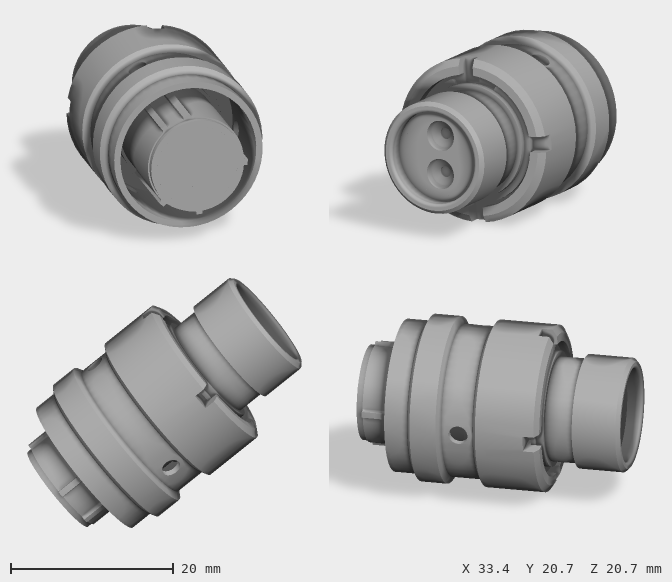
import cadquery as cq
import math


LENGTH = 33.37
FRONT_R = 7.07
FRONT_END = 5.97
FRONT_CHAMFER = 0.47
RIM_ROUND = 0.4
SOCKET_R = 5.8
SOCKET_DEPTH = 1.97
NECK_R = 6.47
HUB_R = 7.17
HUB_START = 9.5
REAR_NECK_END = 19.8
TAIL_R = 6.1
TAIL_END = 32.57
TIP_R = 5.9

KEY_TOP_R = 6.6
KEY_WIDTH = 0.77
KEY_FOOT_R = 0.25
KEY_START = 21.02
KEY_ANGLES = (38.3, 138.4, 184.0, 267.0)

LEANING_KEY_CORNERS = ((-0.45, 5.97), (-0.45, 6.07), (-0.77, 6.55), (-1.57, 6.17), (-1.6, 5.77))

NUT_R = 10.35
NUT_BODY_R = 9.45
NUT_CHAMFER_LENGTH = 0.55
NUT_START = HUB_START
NUT_GRIP_END = 17.95
NUT_COLLAR_START = 21.85
NUT_COLLAR_END = 26.2
NUT_END = 29.05
NUT_RECESS_R = 8.38
NUT_CAVITY_R = 8.65
NUT_TURN = -4.6

SLOT_COUNT = 4
SLOT_WIDTH = 2.0
SLOT_END = 11.38

SIGHT_COUNT = 3
SIGHT_DIAMETER = 2.37
SIGHT_X = 19.75
SIGHT_FIRST_ANGLE = 25.2

CLIP_R = 7.95
CLIP_INNER_R = 7.07
GROOVE_START = 10.28
CLIP_START = 10.38
CLIP_END = 10.9
CLIP_HALF_GAP = 22.5
CLIP_CORNER_R = 0.45

INSERT_R = 5.1
CONTACT_R = 0.7
CONTACT_SPACING = 4.85
MOUTH_R = 1.9
MOUTH_DEPTH = 0.3
CONE_R = 1.6
CONE_START = 0.75
PASSAGE_START = 1.3
CONTACT_RECESS = 0.2


def cylinder_x(radius, start, end, z=0.0):
    return cq.Workplane("YZ", origin=(start, 0, z)).circle(radius).extrude(end - start)


def turned(part, angle):
    return part.rotate((0, 0, 0), (1, 0, 0), angle)


def make_key():
    """One rib along the tail at +Z, with concave rounds at its foot."""
    half = KEY_WIDTH / 2
    foot_y = half + KEY_FOOT_R
    foot_center_r = TAIL_R + KEY_FOOT_R
    foot_z = math.sqrt(foot_center_r**2 - foot_y**2)
    foot_scale = TAIL_R / foot_center_r
    base_y, base_z = foot_y * foot_scale, foot_z * foot_scale
    top_z = math.sqrt(KEY_TOP_R**2 - half**2)
    round_angle = (math.pi + math.pi + math.atan2(foot_z, foot_y)) / 2
    mid_y = foot_y + KEY_FOOT_R * math.cos(round_angle)
    mid_z = foot_z + KEY_FOOT_R * math.sin(round_angle)
    return (
        cq.Workplane("YZ", origin=(KEY_START, 0, 0))
        .moveTo(base_y, base_z)
        .threePointArc((mid_y, mid_z), (half, foot_z))
        .lineTo(half, top_z)
        .threePointArc((0, KEY_TOP_R), (-half, top_z))
        .lineTo(-half, foot_z)
        .threePointArc((-mid_y, mid_z), (-base_y, base_z))
        .lineTo(0, TIP_R)
        .close()
        .extrude(TAIL_END - KEY_START)
    )


def make_leaning_key():
    return (
        cq.Workplane("YZ", origin=(KEY_START, 0, 0))
        .polyline(LEANING_KEY_CORNERS)
        .close()
        .extrude(TAIL_END - KEY_START)
    )


def make_shell():
    rim_r = SOCKET_R + RIM_ROUND
    round_mid = RIM_ROUND * (1 - math.sqrt(0.5))
    body = (
        cq.Workplane("XZ")
        .moveTo(0, rim_r)
        .lineTo(0, FRONT_R - FRONT_CHAMFER)
        .lineTo(FRONT_CHAMFER, FRONT_R)
        .lineTo(FRONT_END, FRONT_R)
        .lineTo(FRONT_END, NECK_R)
        .lineTo(HUB_START, NECK_R)
        .lineTo(HUB_START, HUB_R)
        .lineTo(GROOVE_START, HUB_R)
        .lineTo(GROOVE_START, CLIP_INNER_R)
        .lineTo(CLIP_END, CLIP_INNER_R)
        .lineTo(CLIP_END, HUB_R)
        .lineTo(NUT_GRIP_END, HUB_R)
        .lineTo(NUT_GRIP_END, NECK_R)
        .lineTo(REAR_NECK_END, NECK_R)
        .lineTo(REAR_NECK_END, TAIL_R)
        .lineTo(TAIL_END, TAIL_R)
        .lineTo(TAIL_END, TIP_R)
        .lineTo(LENGTH, TIP_R)
        .lineTo(LENGTH, INSERT_R)
        .lineTo(SOCKET_DEPTH, INSERT_R)
        .lineTo(SOCKET_DEPTH, SOCKET_R)
        .lineTo(RIM_ROUND, SOCKET_R)
        .threePointArc((round_mid, SOCKET_R + round_mid), (0, rim_r))
        .close()
        .revolve(360, (0, 0, 0), (1, 0, 0))
    )
    for angle in KEY_ANGLES:
        body = body.union(turned(make_key(), angle))
    return body.union(make_leaning_key())


def make_nut():
    profile = [
        (NUT_START, NUT_RECESS_R),
        (NUT_START, NUT_BODY_R),
        (NUT_START + NUT_CHAMFER_LENGTH, NUT_R),
        (NUT_GRIP_END - NUT_CHAMFER_LENGTH, NUT_R),
        (NUT_GRIP_END, NUT_BODY_R),
        (NUT_COLLAR_START, NUT_BODY_R),
        (NUT_COLLAR_START + NUT_CHAMFER_LENGTH, NUT_R),
        (NUT_COLLAR_END - NUT_CHAMFER_LENGTH, NUT_R),
        (NUT_COLLAR_END, NUT_BODY_R),
        (NUT_END, NUT_BODY_R),
        (NUT_END, NUT_CAVITY_R),
        (NUT_GRIP_END, NUT_CAVITY_R),
        (NUT_GRIP_END, HUB_R),
        (CLIP_END, HUB_R),
        (CLIP_END, NUT_RECESS_R),
    ]
    nut = cq.Workplane("XY").polyline(profile).close().revolve(360, (0, 0, 0), (1, 0, 0))
    slot = cq.Workplane("XY").box(SLOT_END - NUT_START, SLOT_WIDTH, NUT_R, centered=(False, True, False))
    slot = slot.translate((NUT_START, 0, 0))
    for i in range(SLOT_COUNT):
        nut = nut.cut(turned(slot, i * 360 / SLOT_COUNT))
    nut = turned(nut, NUT_TURN)
    sight = cq.Workplane("XY").center(SIGHT_X, 0).circle(SIGHT_DIAMETER / 2).extrude(NUT_R)
    for i in range(SIGHT_COUNT):
        nut = nut.cut(turned(sight, SIGHT_FIRST_ANGLE + i * 360 / SIGHT_COUNT))
    return nut


def make_clip():
    """Open ring with its gap at +Z and rounded outer corners."""
    width = CLIP_END - CLIP_START
    ring = cylinder_x(CLIP_R, CLIP_START, CLIP_END).cut(cylinder_x(CLIP_INNER_R, CLIP_START, CLIP_END))
    wedge_z = 2 * CLIP_R
    wedge_y = wedge_z * math.tan(math.radians(CLIP_HALF_GAP))
    gap = (
        cq.Workplane("YZ", origin=(CLIP_START, 0, 0))
        .polyline([(0, 0), (wedge_y, wedge_z), (-wedge_y, wedge_z)])
        .close()
        .extrude(width)
    )
    corner_y = CLIP_R * math.sin(math.radians(CLIP_HALF_GAP))
    corner_z = CLIP_R * math.cos(math.radians(CLIP_HALF_GAP))
    corners = [cq.NearestToPointSelector((CLIP_START + width / 2, s * corner_y, corner_z)) for s in (1, -1)]
    ring = ring.cut(gap)
    for corner in corners:
        ring = ring.edges("|X").edges(corner).fillet(CLIP_CORNER_R)
    return ring


def make_insert():
    """Plug filling the shell bore, with a countersunk passage for each contact."""
    insert = cylinder_x(INSERT_R, SOCKET_DEPTH, LENGTH)
    mouth_x = SOCKET_DEPTH + MOUTH_DEPTH
    cone_x = SOCKET_DEPTH + CONE_START
    passage_x = SOCKET_DEPTH + PASSAGE_START
    passage = (
        cq.Workplane("XZ")
        .moveTo(SOCKET_DEPTH, 0)
        .lineTo(SOCKET_DEPTH, MOUTH_R)
        .lineTo(mouth_x, MOUTH_R)
        .tangentArcPoint((cone_x, CONE_R), relative=False)
        .lineTo(passage_x, CONTACT_R)
        .lineTo(LENGTH, CONTACT_R)
        .lineTo(LENGTH, 0)
        .close()
        .revolve(360, (0, 0, 0), (1, 0, 0))
    )
    for side in (1, -1):
        insert = insert.cut(passage.translate((0, 0, side * CONTACT_SPACING / 2)))
    return insert


def make_contact(z):
    start = SOCKET_DEPTH + PASSAGE_START + CONTACT_RECESS
    return cylinder_x(CONTACT_R, start, LENGTH, z)


shell = make_shell()
nut = make_nut()
clip = make_clip()
insert = make_insert()
contacts = [make_contact(side * CONTACT_SPACING / 2) for side in (1, -1)]

result = cq.Compound.makeCompound(
    [shell.val(), nut.val(), clip.val(), insert.val(), *[contact.val() for contact in contacts]]
)